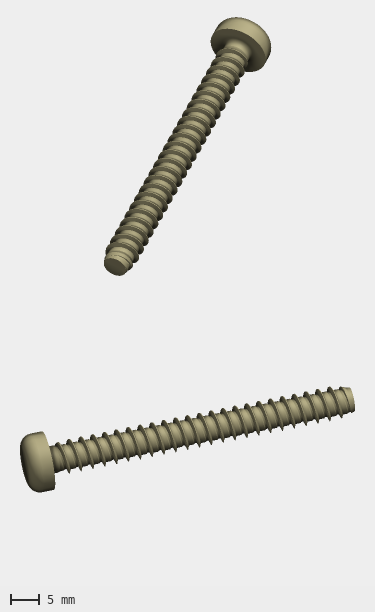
import cadquery as cq

total_length = 59.2

head_diameter = 10.5
head_height = 4.2
head_edge_radius = 2.15

neck_diameter = 4.85
neck_length = 1.35
neck_fillet_radius = 0.75
neck_taper_length = 0.65

core_diameter = 4.2
land_diameter = 4.55
crest_diameter = 6.0
crest_span = 51.4
pitch_count = 24
pitch = crest_span / pitch_count
thread_start = -1.05
thread_turns = pitch_count + 2
root_overlap = 0.1

crest_half_width = 0.05
head_flank_foot = 0.4
tip_flank_foot = 0.35
land_end = 1.25
land_slope_foot = 1.6

tip_fade_length = 3.3
neck_fade_length = 1.55

tip_clearance = 0.03
crest_clearance = 0.1
neck_clearance = 0.05
core_overrun = 3.55

core_radius = core_diameter / 2
root_radius = core_radius - root_overlap
land_radius = land_diameter / 2
crest_radius = crest_diameter / 2
neck_radius = neck_diameter / 2
head_radius = head_diameter / 2
head_underside = total_length - head_height
neck_end = head_underside - neck_length
neck_taper_end = neck_end - neck_taper_length


def revolve_outline(outline):
    """Turn a closed (radius, height) outline about the screw axis, Z."""
    return outline.close().revolve(360, (0, 0, 0), (0, 1, 0))


def make_head():
    """Pan head with its filleted neck, tapering down to the thread core."""
    outline = (
        cq.Workplane("XZ")
        .moveTo(0, neck_taper_end)
        .lineTo(core_radius, neck_taper_end)
        .lineTo(neck_radius, neck_end)
        .lineTo(neck_radius, head_underside - neck_fillet_radius)
        .radiusArc((neck_radius + neck_fillet_radius, head_underside), neck_fillet_radius)
        .lineTo(head_radius, head_underside)
        .lineTo(head_radius, total_length - head_edge_radius)
        .radiusArc((head_radius - head_edge_radius, total_length), -head_edge_radius)
        .lineTo(0, total_length)
    )
    return revolve_outline(outline)


def make_thread_ridge():
    """Sharp crest with a low land on its tip side, swept along a right-hand helix."""
    helix = cq.Wire.makeHelix(pitch, pitch * thread_turns, core_radius)
    ridge = (
        cq.Workplane("XZ")
        .moveTo(root_radius, head_flank_foot)
        .lineTo(crest_radius, crest_half_width)
        .lineTo(crest_radius, -crest_half_width)
        .lineTo(land_radius, -tip_flank_foot)
        .lineTo(land_radius, -land_end)
        .lineTo(root_radius, -land_slope_foot)
        .close()
        .sweep(cq.Workplane(helix), isFrenet=True)
    )
    return ridge.rotate((0, 0, 0), (0, 0, 1), -90).translate((0, 0, thread_start))


def make_core():
    """Plain core, longer than the thread at both ends."""
    core_length = total_length + 2 * core_overrun
    return cq.Workplane("XY").workplane(offset=-core_overrun).circle(core_radius).extrude(core_length)


def make_shank_envelope():
    """Turned volume that trims the shank to length, coned where the crest fades out."""
    envelope_radius = crest_radius + crest_clearance
    outline = (
        cq.Workplane("XZ")
        .lineTo(core_radius + tip_clearance, 0)
        .lineTo(envelope_radius, tip_fade_length)
        .lineTo(envelope_radius, neck_end - neck_fade_length)
        .lineTo(neck_radius - neck_clearance, neck_end + neck_clearance)
        .lineTo(0, neck_end + neck_clearance)
    )
    return revolve_outline(outline)


threaded_rod = make_core().union(make_thread_ridge())
shank = threaded_rod.intersect(make_shank_envelope())
screw = shank.union(make_head())
result = screw.rotate((0, 0, 0), (1, 0, 0), -90).translate((0, -total_length / 2, 0))